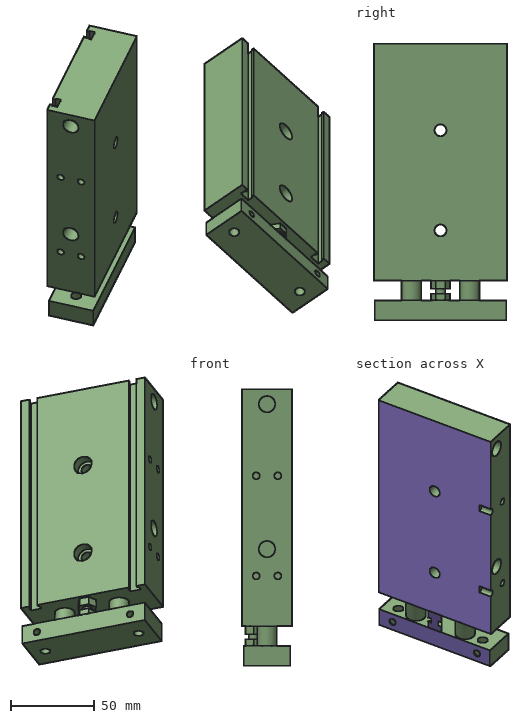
import cadquery as cq
import math

overall_height = 166.0
housing_thickness = 30.0
housing_width = 80.0
plate_thickness = 28.0
plate_width = 79.0
plate_height = 12.0
stroke_gap = 12.0

housing_bottom = plate_height + stroke_gap
housing_height = overall_height - housing_bottom
housing_left = -housing_thickness / 2
housing_front = -housing_width / 2

slot_edge_distance = 8.0
slot_mouth_width = 5.0
slot_inner_width = 6.6
slot_lip = 1.7
slot_depth = 5.0

mount_levels = [overall_height - drop for drop in (52.0, 112.0)]
bolt_hole_diameter = 7.0
counterbore_diameter = 11.3
counterbore_depth = 6.6
tapped_diameter = 4.2
tapped_depth = 8.0
tapped_offset = 6.5

port_diameter = 9.8
port_depth = 10.0
port_levels = [overall_height - drop for drop in (9.0, 96.0)]

rod_diameter = 12.0
rod_spacing = 35.0
plate_hole_spacing = 60.1
plate_hole_diameter = 6.0

bolt_x = -8.0
bolt_diameter = 6.0
hex_across_flats = 10.0
hex_across_corners = hex_across_flats / math.cos(math.pi / 6)
nut_height = 5.0
head_height = 4.2
head_chamfer_angle = math.radians(30)


def drill_along_x(x, y, z, diameter, depth):
    """Cylinder that starts at the given point and runs toward +X."""
    return cq.Workplane("YZ", origin=(x, y, z)).circle(diameter / 2).extrude(depth)


def drill_along_y(x, y, z, diameter, depth):
    """Cylinder that starts at the given point and runs toward +Y."""
    return cq.Workplane("XZ", origin=(x, y, z)).circle(diameter / 2).extrude(-depth)


def block(thickness, width, height, bottom):
    """Box centred on the Z axis, standing on the level 'bottom'."""
    return cq.Workplane("XY", origin=(0, 0, bottom)).box(
        thickness, width, height, centered=(True, True, False)
    )


def t_slot(y):
    """T-slot cutter over the full height of the housing."""
    base = cq.Workplane("XY", origin=(housing_left, y, housing_bottom))
    mouth = base.box(slot_depth, slot_mouth_width, housing_height, centered=(False, True, False))
    inner = base.center(slot_lip, 0).box(
        slot_depth - slot_lip, slot_inner_width, housing_height, centered=(False, True, False)
    )
    return mouth.union(inner)


def make_housing():
    body = block(housing_thickness, housing_width, housing_height, housing_bottom)
    slot_y = housing_width / 2 - slot_edge_distance
    for side in (-1, 1):
        body = body.cut(t_slot(side * slot_y))
    for z in mount_levels:
        body = body.cut(drill_along_x(housing_left, 0, z, bolt_hole_diameter, housing_thickness))
        body = body.cut(drill_along_x(housing_left, 0, z, counterbore_diameter, counterbore_depth))
        for x in (-tapped_offset, tapped_offset):
            body = body.cut(drill_along_y(x, housing_front, z, tapped_diameter, tapped_depth))
    for z in port_levels:
        body = body.cut(drill_along_y(0, housing_front, z, port_diameter, port_depth))
    return body


def make_rod_plate():
    """End plate with its two guide rods, which reach up to the housing."""
    plate = block(plate_thickness, plate_width, plate_height, 0)
    for side in (-1, 1):
        hole_y = side * plate_hole_spacing / 2
        rod = (
            cq.Workplane("XY", origin=(0, side * rod_spacing / 2, plate_height))
            .circle(rod_diameter / 2)
            .extrude(stroke_gap)
        )
        through_hole = (
            cq.Workplane("XY", origin=(0, hole_y, 0))
            .circle(plate_hole_diameter / 2)
            .extrude(plate_height)
        )
        side_hole = drill_along_x(
            -plate_thickness / 2, hole_y, plate_height / 2, tapped_diameter, tapped_depth
        )
        plate = plate.union(rod).cut(through_hole).cut(side_hole)
    return plate


def hexagon(bottom, height):
    """Hexagonal prism on the bolt axis, with corners toward +Y and -Y."""
    return (
        cq.Workplane("XY", origin=(bolt_x, 0, bottom))
        .transformed(rotate=(0, 0, 90))
        .polygon(6, hex_across_corners)
        .extrude(height)
    )


def make_stop_bolt():
    """Bolt whose head rests on the plate and whose nut touches the housing."""
    corner_radius = hex_across_corners / 2
    flat_radius = hex_across_flats / 2
    chamfer_height = (corner_radius - flat_radius) * math.tan(head_chamfer_angle)
    chamfer_envelope = (
        cq.Workplane("XZ", origin=(bolt_x, 0, plate_height))
        .moveTo(0, 0)
        .lineTo(flat_radius, 0)
        .lineTo(corner_radius, chamfer_height)
        .lineTo(corner_radius, head_height)
        .lineTo(0, head_height)
        .close()
        .revolve(360, (0, 0), (0, 1))
    )
    head = hexagon(plate_height, head_height).intersect(chamfer_envelope)
    shank = (
        cq.Workplane("XY", origin=(bolt_x, 0, plate_height))
        .circle(bolt_diameter / 2)
        .extrude(stroke_gap)
    )
    nut = hexagon(housing_bottom - nut_height, nut_height)
    return head.union(shank).union(nut)


housing = make_housing()
rod_plate = make_rod_plate()
stop_bolt = make_stop_bolt()
result = cq.Compound.makeCompound([housing.val(), rod_plate.val(), stop_bolt.val()])